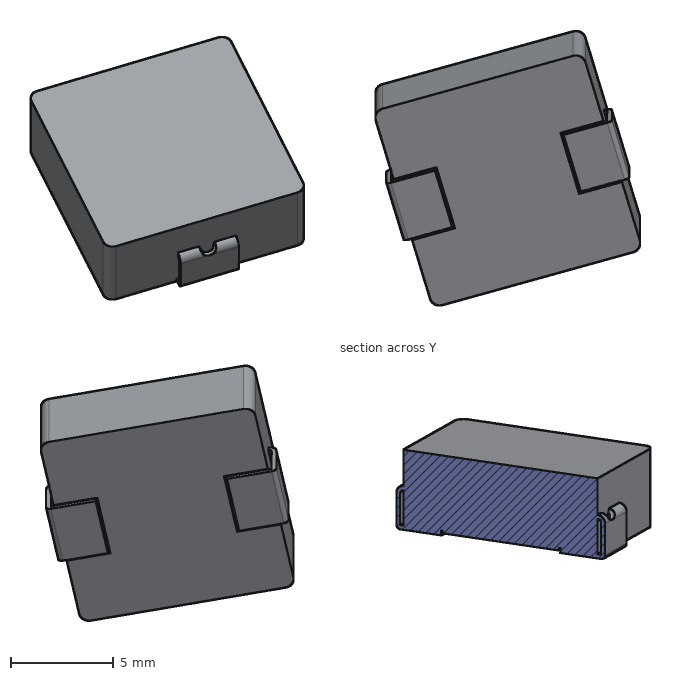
import cadquery as cq
import math

BODY_X = 10.7
BODY_Y = 10.5
BODY_HEIGHT = 4.0
CORNER_RADIUS = 0.5

SPAN_X = 11.5
TERMINAL_WIDTH = 3.05
THICKNESS = 0.24
TERMINAL_TOP = 2.25
FOOT_LENGTH = 2.48
STANDOFF = 0.12
NOTCH_RADIUS = 0.4

RECESS_CLEARANCE = 0.03
RECESS_FLARE = 0.07

outer_x = SPAN_X / 2
body_face_x = BODY_X / 2
bend_radius = outer_x - body_face_x
inner_x = outer_x - THICKNESS
foot_tip_x = outer_x - FOOT_LENGTH
bend_z = TERMINAL_TOP - bend_radius


def make_body():
    return (
        cq.Workplane("XY", origin=(0, 0, STANDOFF))
        .rect(BODY_X, BODY_Y)
        .extrude(BODY_HEIGHT)
        .edges("|Z")
        .fillet(CORNER_RADIUS)
    )


def make_foot_recess():
    """Pocket above the +X foot: sloped sides and inner end, open at the body face."""
    depth = THICKNESS - STANDOFF
    margin = RECESS_CLEARANCE + RECESS_FLARE
    length = FOOT_LENGTH + margin
    width = TERMINAL_WIDTH + 2 * margin
    wall_angle = math.degrees(math.atan2(RECESS_FLARE, depth))
    return (
        cq.Workplane("XY", origin=(outer_x - length / 2, 0, STANDOFF))
        .rect(length, width)
        .extrude(depth, taper=wall_angle)
    )


def make_terminal():
    """+X terminal: quarter bend out of the body, upright leg and foot turned under the body."""
    inner_radius = bend_radius - THICKNESS
    diagonal = math.sqrt(0.5)
    strip = (
        cq.Workplane("XZ")
        .moveTo(body_face_x, TERMINAL_TOP)
        .threePointArc(
            (body_face_x + bend_radius * diagonal, bend_z + bend_radius * diagonal),
            (outer_x, bend_z),
        )
        .lineTo(outer_x, THICKNESS)
        .threePointArc(
            (inner_x + THICKNESS * diagonal, THICKNESS - THICKNESS * diagonal),
            (inner_x, 0),
        )
        .lineTo(foot_tip_x, 0)
        .lineTo(foot_tip_x, THICKNESS)
        .lineTo(inner_x, THICKNESS)
        .lineTo(inner_x, bend_z)
        .threePointArc(
            (body_face_x + inner_radius * diagonal, bend_z + inner_radius * diagonal),
            (body_face_x, bend_z + inner_radius),
        )
        .close()
        .extrude(TERMINAL_WIDTH / 2, both=True)
    )
    notch = (
        cq.Workplane("YZ", origin=(body_face_x, 0, TERMINAL_TOP))
        .circle(NOTCH_RADIUS)
        .extrude(bend_radius)
    )
    return strip.cut(notch)


def on_both_ends(shape):
    return shape.union(shape.mirror("YZ"))


result = make_body().cut(on_both_ends(make_foot_recess())).union(on_both_ends(make_terminal()))